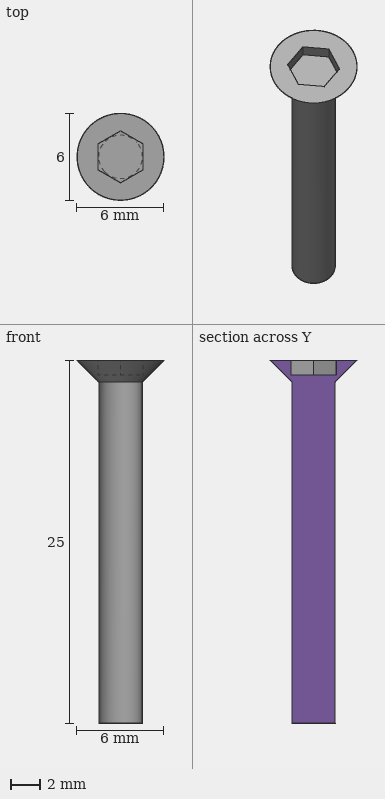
import cadquery as cq
import math

total_length = 25.0
head_diameter = 6.0
shank_diameter = 3.0
head_height = (head_diameter - shank_diameter) / 2

socket_across_flats = 3.1
socket_depth = 1.0

head_radius = head_diameter / 2
shank_radius = shank_diameter / 2
neck_z = total_length - head_height


def make_body():
    """Shank and conical head, revolved from one half profile."""
    profile = [
        (0, 0),
        (shank_radius, 0),
        (shank_radius, neck_z),
        (head_radius, total_length),
        (0, total_length),
    ]
    return cq.Workplane("XZ").polyline(profile).close().revolve(360, (0, 0, 0), (0, 1, 0))


def make_socket():
    """Hexagonal prism that is cut into the top of the head."""
    socket_across_corners = socket_across_flats / math.cos(math.pi / 6)
    corner_angle = 90
    return (
        cq.Workplane("XY")
        .workplane(offset=total_length - socket_depth)
        .polygon(6, socket_across_corners)
        .extrude(socket_depth)
        .rotate((0, 0, 0), (0, 0, 1), corner_angle)
    )


result = make_body().cut(make_socket())